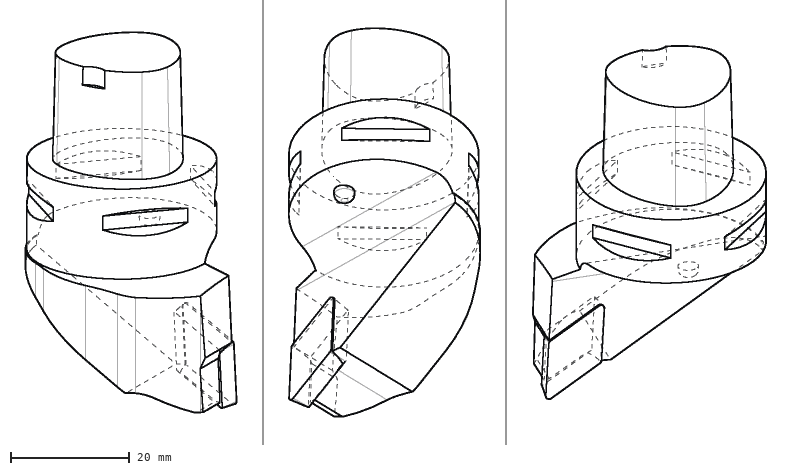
import cadquery as cq
import math


SHANK_HEIGHT = 18.9
SHANK_RADIUS = 11.0
SHANK_LOBE = 0.65
SHANK_TAPER = 1.4
LOBE_ANGLES = (90, 210, 330)
SHANK_LOBE_ARC = 46
SHANK_POINTS = 12
NOTCH_DEPTH = 3.25
NOTCH_RADIUS = 3.4
NOTCH_INNER_Y = -9.0

FLANGE_DIAMETER = 32.0
FLANGE_HEIGHT = 16.0
FLANGE_RADIUS = FLANGE_DIAMETER / 2
GROOVE_FLOOR_DISTANCE = 14.15
GROOVE_FLOOR_HEIGHT = 2.5
GROOVE_CENTER_Z = -6.15
GROOVE_ANGLES = (45, 135, 225, 315)
GROOVE_WALL_ANGLE = 30
GROOVE_LENGTH = FLANGE_DIAMETER

FACE_Y = -0.4
CUTAWAY_OUTER_Z = -12.15
CUTAWAY_SLOPE = 5
CUTAWAY_FILLET = 4.4

NOZZLE_DIAMETER = 3.5
NOZZLE_Y = 9.6
NOZZLE_BOTTOM_Z = -14.45
NOZZLE_FILLET = 1.2
NOZZLE_ROOT_Z = -11.8

TOTAL_HEIGHT = 59.0
BOTTOM_Z = SHANK_HEIGHT - TOTAL_HEIGHT
HEAD_RADIUS = 16.2
HEAD_RUN_SLOPE = 35
HEAD_RUN_END_X = -6.7
HEAD_MIN_Y = -18.2
HEAD_CONE_ANGLE = 15
HEAD_OUTLINE_MAX_X = 23.6

INSERT_THICKNESS = 4.15
INSERT_SIDE = 11.6
INSERT_TIP_ANGLE = 55
INSERT_LEAD_ANGLE = 93
INSERT_CORNER = 0.65
INSERT_RELIEF = 7
INSERT_MAX_X = 22.05


def lobed_wire(z, radius):
    """Closed curve whose distance to its tangent is radius - lobe * sin(3a)."""

    def point(degrees):
        a = math.radians(degrees)
        support = radius - SHANK_LOBE * math.sin(3 * a)
        slope = -3 * SHANK_LOBE * math.cos(3 * a)
        return (support * math.cos(a) - slope * math.sin(a),
                support * math.sin(a) + slope * math.cos(a))

    half_lobe = SHANK_LOBE_ARC / 2
    breaks = []
    for lobe_center in LOBE_ANGLES:
        breaks += [lobe_center - half_lobe, lobe_center + half_lobe]
    breaks.append(breaks[0] + 360)
    edges = []
    for start, stop in zip(breaks, breaks[1:]):
        curve = cq.Workplane("XY", origin=(0, 0, z)).parametricCurve(
            point, N=SHANK_POINTS, start=start, stop=stop, makeWire=False)
        edges.append(curve.val())
    return cq.Wire.assembleEdges(edges)


def make_shank():
    top_radius = SHANK_RADIUS - SHANK_HEIGHT * math.tan(math.radians(SHANK_TAPER))
    shank = cq.Workplane(cq.Solid.makeLoft([
        lobed_wire(0, SHANK_RADIUS),
        lobed_wire(SHANK_HEIGHT, top_radius),
    ]))
    notch = (
        cq.Workplane("XY", origin=(0, NOTCH_INNER_Y - NOTCH_RADIUS, SHANK_HEIGHT - NOTCH_DEPTH))
        .circle(NOTCH_RADIUS)
        .extrude(NOTCH_DEPTH)
    )
    return shank.cut(notch)


def make_groove(angle):
    """Straight groove with flared walls, across the flange rim at the given angle."""
    depth = FLANGE_RADIUS - GROOVE_FLOOR_DISTANCE
    half_floor = GROOVE_FLOOR_HEIGHT / 2
    half_mouth = half_floor + depth * math.tan(math.radians(GROOVE_WALL_ANGLE))
    return (
        cq.Workplane("XZ", origin=(0, 0, GROOVE_CENTER_Z))
        .moveTo(GROOVE_FLOOR_DISTANCE, -half_floor)
        .lineTo(FLANGE_RADIUS, -half_mouth)
        .lineTo(FLANGE_RADIUS, half_mouth)
        .lineTo(GROOVE_FLOOR_DISTANCE, half_floor)
        .close()
        .extrude(GROOVE_LENGTH / 2, both=True)
        .rotate((0, 0, 0), (0, 0, 1), angle)
    )


def make_flange():
    flange = cq.Workplane("XY").circle(FLANGE_RADIUS).extrude(-FLANGE_HEIGHT)
    for angle in GROOVE_ANGLES:
        flange = flange.cut(make_groove(angle))
    return flange


def head_outline():
    """Plan shape of the head, extruded over its full height."""
    turn = math.radians(HEAD_RUN_SLOPE)
    line_start = (-HEAD_RADIUS * math.sin(turn), -HEAD_RADIUS * math.cos(turn))
    line_end = (HEAD_RUN_END_X, line_start[1] - (HEAD_RUN_END_X - line_start[0]) * math.tan(turn))
    side_mid = (-HEAD_RADIUS * math.cos(turn), -HEAD_RADIUS * math.sin(turn))
    return (
        cq.Workplane("XY", origin=(0, 0, BOTTOM_Z))
        .moveTo(-HEAD_RADIUS, 0)
        .threePointArc(side_mid, line_start)
        .lineTo(*line_end)
        .tangentArcPoint((3.0, HEAD_MIN_Y), relative=False)
        .lineTo(9.1, HEAD_MIN_Y)
        .tangentArcPoint((12.3, -17.6), relative=False)
        .threePointArc((16.9, -14.65), (20.75, -10.45))
        .lineTo(HEAD_OUTLINE_MAX_X, -7.1)
        .lineTo(HEAD_OUTLINE_MAX_X, 0)
        .close()
        .extrude(-BOTTOM_Z - FLANGE_HEIGHT)
    )


def head_profile():
    """Side shape of the head: slanted underside, relieved below the insert."""
    return (
        cq.Workplane("XZ")
        .moveTo(-HEAD_RADIUS, -FLANGE_HEIGHT)
        .lineTo(-HEAD_RADIUS, -17.8)
        .lineTo(10.55, -34.6)
        .threePointArc((12.35, -34.45), (14.7, -35.15))
        .lineTo(20.25, -38.5)
        .lineTo(21.1, -38.65)
        .lineTo(20.75, -30.85)
        .lineTo(21.35, -29.0)
        .lineTo(20.7, -FLANGE_HEIGHT)
        .close()
        .extrude(-HEAD_MIN_Y)
    )


def head_cone():
    """Conical shoulder that falls away from the lower rim of the flange."""
    cone_radius = 2 * FLANGE_RADIUS
    drop = (cone_radius - FLANGE_RADIUS) * math.tan(math.radians(HEAD_CONE_ANGLE))
    return (
        cq.Workplane("XZ")
        .moveTo(0, -FLANGE_HEIGHT)
        .lineTo(FLANGE_RADIUS, -FLANGE_HEIGHT)
        .lineTo(cone_radius, -FLANGE_HEIGHT - drop)
        .lineTo(cone_radius, BOTTOM_Z)
        .lineTo(0, BOTTOM_Z)
        .close()
        .revolve(360, (0, 0, 0), (0, 1, 0))
    )


def make_head():
    return head_outline().intersect(head_profile()).intersect(head_cone())


def make_cutaway():
    fall = (FLANGE_RADIUS - FACE_Y) * math.tan(math.radians(CUTAWAY_SLOPE))
    length = 4 * FLANGE_RADIUS
    return (
        cq.Workplane("YZ")
        .moveTo(FLANGE_RADIUS, CUTAWAY_OUTER_Z)
        .lineTo(FACE_Y, CUTAWAY_OUTER_Z - fall)
        .lineTo(FACE_Y, BOTTOM_Z)
        .lineTo(FLANGE_RADIUS, BOTTOM_Z)
        .close()
        .extrude(length / 2, both=True)
        .faces("<Y")
        .edges(">Z")
        .fillet(CUTAWAY_FILLET)
    )


def make_nozzle():
    return (
        cq.Workplane("XY", origin=(0, NOZZLE_Y, NOZZLE_BOTTOM_Z))
        .circle(NOZZLE_DIAMETER / 2)
        .extrude(NOZZLE_ROOT_Z - NOZZLE_BOTTOM_Z)
        .faces("<Z")
        .edges()
        .fillet(NOZZLE_FILLET)
    )


def make_insert():
    """Rhombic insert, top face at Y = 0, narrowing toward -Y by its relief angle."""
    edge_angle = math.radians(INSERT_LEAD_ANGLE)
    other_angle = edge_angle + math.radians(INSERT_TIP_ANGLE)
    middle_angle = (edge_angle + other_angle) / 2
    corner_setback = INSERT_CORNER / math.sin(math.radians(INSERT_TIP_ANGLE / 2))
    tip = (INSERT_MAX_X - INSERT_CORNER - corner_setback * math.cos(middle_angle),
           BOTTOM_Z + INSERT_CORNER - corner_setback * math.sin(middle_angle))
    side_a = (INSERT_SIDE * math.cos(edge_angle), INSERT_SIDE * math.sin(edge_angle))
    side_b = (INSERT_SIDE * math.cos(other_angle), INSERT_SIDE * math.sin(other_angle))
    rhombus = cq.Sketch().polygon([
        tip,
        (tip[0] + side_a[0], tip[1] + side_a[1]),
        (tip[0] + side_a[0] + side_b[0], tip[1] + side_a[1] + side_b[1]),
        (tip[0] + side_b[0], tip[1] + side_b[1]),
        tip,
    ]).vertices().fillet(INSERT_CORNER)
    return cq.Workplane("XZ").placeSketch(rhombus).extrude(INSERT_THICKNESS, taper=INSERT_RELIEF)


def make_holder(insert):
    flange_and_head = make_flange().union(make_head()).cut(make_cutaway())
    return flange_and_head.union(make_shank()).union(make_nozzle()).cut(insert)


insert = make_insert()
holder = make_holder(insert)

result = cq.Compound.makeCompound([holder.solids().val(), insert.val()])